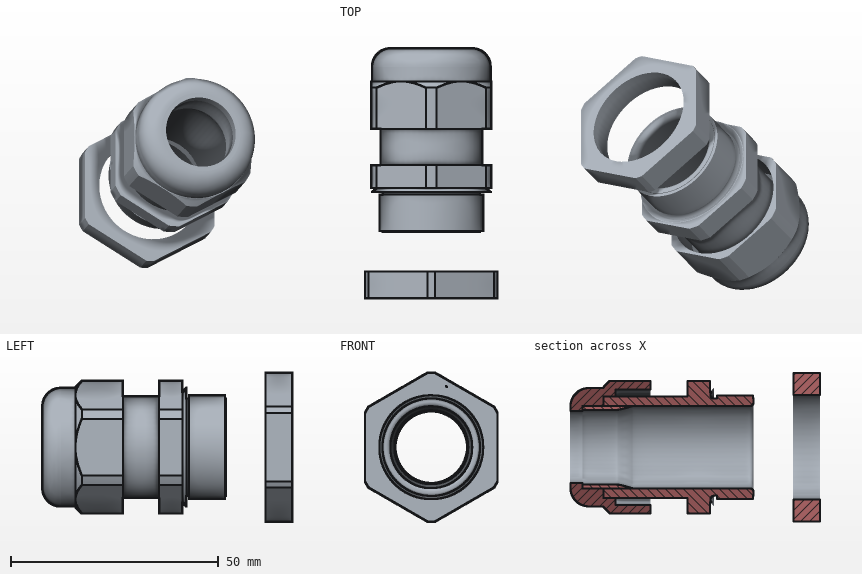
import cadquery as cq
import math


HALF_HEX_SECTOR = 30

LOCKNUT_FLATS = 32.0
LOCKNUT_CORNERS = 36.0
LOCKNUT_THICKNESS = 6.5

THREAD_START = 16.05
GROOVE_START = 24.95
LIP_TIP = 25.55
FLANGE_START = 26.55
FLANGE_END = 32.1
CAP_START = 40.8
CAP_SHOULDER = 52.3
CAP_END = 60.3

HEX_FLATS = 29.0
HEX_CORNERS = 32.1
THREAD_RADIUS = 12.55
CORE_RADIUS = 11.75
THREAD_RUNOUT = 0.2
NECK_RADIUS = 12.3
BORE_RADIUS = 9.9
BORE_ROUNDING = 0.95
LIP_ROOT_RADIUS = 13.2
LIP_TIP_RADIUS = 14.35
LIP_TIP_WIDTH = 0.2
LIP_INNER_RADIUS = 12.9
LIP_RECESS_DEPTH = 0.85
RECESS_ROUNDING = 0.85

CAP_RADIUS = 14.35
CAP_ROUNDING = 4.6
CAP_MOUTH_RADIUS = 8.6
CAP_LIP_THICKNESS = 3.0
CAP_COUNTERBORE_RADIUS = 13.85
CAP_COUNTERBORE_DEPTH = 8.45

SEAL_LENGTH = 12.05
SEAL_LEAD_IN = 3.6
SEAL_RADIUS = 8.9

CAP_FLOOR = CAP_END - CAP_LIP_THICKNESS
SEAL_START = CAP_FLOOR - SEAL_LENGTH


def revolve_about_y(profile):
    """Turn a closed profile of (radius, y) points about the Y axis."""
    return profile.close().revolve(360, (0, 0, 0), (0, 1, 0))


def cylinder(radius, start, end):
    """Solid cylinder on the Y axis between two stations."""
    return cq.Workplane("XZ", origin=(0, start, 0)).circle(radius).extrude(start - end)


def rounded_hexagon(flats, corners, start, end):
    """Hexagonal prism with flats facing +X and -X and its corners turned to a diameter."""
    sharp_corners = flats / math.cos(math.radians(HALF_HEX_SECTOR))
    prism = (
        cq.Workplane("XZ", origin=(0, start, 0))
        .transformed(rotate=(0, 0, HALF_HEX_SECTOR))
        .polygon(6, sharp_corners)
        .extrude(start - end)
    )
    return prism.intersect(cylinder(corners / 2, start, end))


def make_locknut():
    nut = rounded_hexagon(LOCKNUT_FLATS, LOCKNUT_CORNERS, 0, LOCKNUT_THICKNESS)
    return nut.cut(cylinder(THREAD_RADIUS, 0, LOCKNUT_THICKNESS))


def make_body():
    recess_floor = LIP_TIP + LIP_RECESS_DEPTH
    turned = revolve_about_y(
        cq.Workplane("XY")
        .moveTo(BORE_RADIUS + BORE_ROUNDING, THREAD_START)
        .lineTo(CORE_RADIUS, THREAD_START)
        .lineTo(CORE_RADIUS, THREAD_START + THREAD_RUNOUT)
        .lineTo(THREAD_RADIUS, THREAD_START + THREAD_RUNOUT)
        .lineTo(THREAD_RADIUS, GROOVE_START)
        .lineTo(CORE_RADIUS, GROOVE_START)
        .lineTo(CORE_RADIUS, recess_floor - RECESS_ROUNDING)
        .radiusArc((CORE_RADIUS + RECESS_ROUNDING, recess_floor), RECESS_ROUNDING)
        .lineTo(LIP_INNER_RADIUS, recess_floor)
        .lineTo(LIP_TIP_RADIUS - LIP_TIP_WIDTH, LIP_TIP)
        .lineTo(LIP_TIP_RADIUS, LIP_TIP)
        .lineTo(LIP_ROOT_RADIUS, FLANGE_START)
        .lineTo(NECK_RADIUS, FLANGE_START)
        .lineTo(NECK_RADIUS, CAP_SHOULDER)
        .lineTo(BORE_RADIUS, CAP_SHOULDER)
        .lineTo(BORE_RADIUS, THREAD_START + BORE_ROUNDING)
        .radiusArc((BORE_RADIUS + BORE_ROUNDING, THREAD_START), -BORE_ROUNDING)
    )
    flange = rounded_hexagon(HEX_FLATS, HEX_CORNERS, FLANGE_START, FLANGE_END)
    flange = flange.cut(cylinder(BORE_RADIUS, FLANGE_START, FLANGE_END))
    return turned.union(flange)


def make_cap():
    corner_radius = HEX_CORNERS / 2
    flat_radius = HEX_FLATS / 2
    envelope = revolve_about_y(
        cq.Workplane("XY")
        .moveTo(0, CAP_START)
        .lineTo(corner_radius, CAP_START)
        .lineTo(corner_radius, CAP_SHOULDER - (corner_radius - flat_radius))
        .lineTo(flat_radius, CAP_SHOULDER)
        .lineTo(0, CAP_SHOULDER)
    )
    hexagon = rounded_hexagon(HEX_FLATS, HEX_CORNERS, CAP_START, CAP_SHOULDER).intersect(envelope)
    head = cylinder(CAP_RADIUS, CAP_SHOULDER, CAP_END).faces(">Y").edges().fillet(CAP_ROUNDING)
    return (
        hexagon.union(head)
        .cut(cylinder(CAP_COUNTERBORE_RADIUS, CAP_START, CAP_START + CAP_COUNTERBORE_DEPTH))
        .cut(cylinder(NECK_RADIUS, CAP_START, CAP_SHOULDER))
        .cut(cylinder(BORE_RADIUS, CAP_SHOULDER, CAP_FLOOR))
        .cut(cylinder(CAP_MOUTH_RADIUS, CAP_FLOOR, CAP_END))
    )


def make_seal():
    return revolve_about_y(
        cq.Workplane("XY")
        .moveTo(BORE_RADIUS, SEAL_START)
        .lineTo(BORE_RADIUS, CAP_FLOOR)
        .lineTo(SEAL_RADIUS, CAP_FLOOR)
        .lineTo(SEAL_RADIUS, SEAL_START + SEAL_LEAD_IN)
    )


locknut = make_locknut()
body = make_body()
cap = make_cap()
seal = make_seal()

result = cq.Compound.makeCompound([locknut.val(), body.val(), cap.val(), seal.val()])